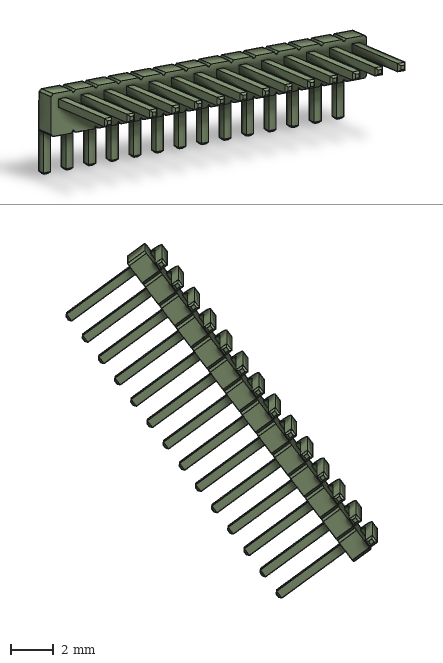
import cadquery as cq

pin_count = 14
header_length = 17.78
pitch = header_length / pin_count

body_front_x = 0.7
body_width = 1.01
body_height = 2.1
body_chamfer = 0.12

pin_size = 0.41
pin_reach = 5.7
pin_tail_depth = 4.35
pin_top_drop = 0.3
bend_outer_radius = 0.6
bend_inner_radius = bend_outer_radius - pin_size
tip_length = 0.1
tip_inset = 0.1


def pin_position(index):
    """Y position of a pin, counted from the -Y end."""
    return (index + 0.5) * pitch - header_length / 2


def make_body_segment(y):
    """One pin's share of the bar, with its four long edges chamfered."""
    return (
        cq.Workplane("XY")
        .box(body_width, pitch, body_height, centered=(False, True, False))
        .edges("|X")
        .chamfer(body_chamfer)
        .translate((body_front_x, y, -body_height))
    )


def make_pin(y):
    """Square pin: horizontal contact, rounded bend, vertical tail, tapered tips."""
    tip_size = pin_size - 2 * tip_inset
    shank_end_x = pin_reach - tip_length
    shank_end_z = -pin_tail_depth + tip_length
    pin_center_z = -pin_top_drop - pin_size / 2
    bend_center_x = bend_outer_radius
    bend_center_z = -pin_top_drop - bend_outer_radius

    shank = (
        cq.Workplane("XZ", origin=(0, y, 0))
        .moveTo(0, shank_end_z)
        .lineTo(0, bend_center_z)
        .radiusArc((bend_center_x, -pin_top_drop), bend_outer_radius)
        .lineTo(shank_end_x, -pin_top_drop)
        .lineTo(shank_end_x, -pin_top_drop - pin_size)
        .lineTo(bend_center_x, -pin_top_drop - pin_size)
        .radiusArc((pin_size, bend_center_z), -bend_inner_radius)
        .lineTo(pin_size, shank_end_z)
        .close()
        .extrude(pin_size / 2, both=True)
    )
    contact_plane = cq.Workplane("YZ", origin=(shank_end_x, y, pin_center_z))
    tail_plane = cq.Workplane("XY", origin=(pin_size / 2, y, shank_end_z))
    contact_tip = (
        contact_plane.rect(pin_size, pin_size)
        .workplane(offset=tip_length)
        .rect(tip_size, tip_size)
        .loft()
    )
    tail_tip = (
        tail_plane.rect(pin_size, pin_size)
        .workplane(offset=-tip_length)
        .rect(tip_size, tip_size)
        .loft()
    )
    return shank.union(contact_tip).union(tail_tip)


result = make_body_segment(pin_position(0)).union(make_pin(pin_position(0)))
for pin_index in range(1, pin_count):
    pin_y = pin_position(pin_index)
    result = result.union(make_body_segment(pin_y)).union(make_pin(pin_y))